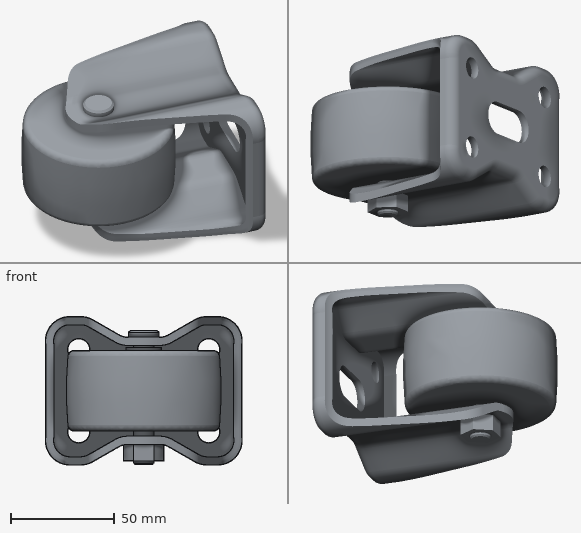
import cadquery as cq
import math


wall = 4.0
axle_to_back = 70.5
bracket_half_height = 36.0
plate_half_width = 47.5
lobe_radius = 12.0
lobe_center_x = 35.695
shoulder_x = 27.5
waist_x = 10.0
waist_half_height = 26.0
shoulder_radius = 12.0
waist_radius = 8.0
back_edge_radius = 5.0

rim_depth = 7.0
rim_corner_x = 40.9
rim_radius = 15.0
flange_corner_x = 25.3
flange_corner_below_axle = 6.3
flange_corner_radius = 12.0
tip_radius = 16.0

screw_hole_diameter = 10.6
screw_hole_x = 31.5
screw_hole_z = 19.9
slot_length = 35.0
slot_height = 16.0

wheel_radius = 37.5
wheel_edge_radius = 36.5
wheel_width = 39.0
wheel_rounding = 3.0

axle_radius = 5.0
axle_end_z = -35.7
axle_chamfer = 0.8
spacer_radius = 8.5
spacer_thickness = 1.5
head_radius = 7.5
head_height = 3.25
head_chamfer = 1.0
nut_across_flats = 17.0
nut_height = 8.0


def rounded_corner(previous, corner, following, radius):
    """Start, middle and end of the arc that rounds a corner between two straight lines."""
    to_previous = (cq.Vector(*previous) - cq.Vector(*corner)).normalized()
    to_following = (cq.Vector(*following) - cq.Vector(*corner)).normalized()
    half_angle = to_previous.getAngle(to_following) / 2
    tangent_length = radius / math.tan(half_angle)
    middle_distance = radius / math.sin(half_angle) - radius
    bisector = (to_previous + to_following).normalized()
    start = cq.Vector(*corner) + to_previous * tangent_length
    middle = cq.Vector(*corner) + bisector * middle_distance
    end = cq.Vector(*corner) + to_following * tangent_length
    return start.toTuple()[:2], middle.toTuple()[:2], end.toTuple()[:2]


def bow_tie(inset, back_y):
    """Bow-tie prism from `back_y` to the flange tips, its outline moved inward by `inset`."""
    lobe_r = lobe_radius - inset
    side_x = plate_half_width - inset
    top_z = bracket_half_height - inset
    lobe_z = bracket_half_height - lobe_radius
    side_z = lobe_z - math.sqrt(lobe_r**2 - (side_x - lobe_center_x) ** 2)
    lobe_mid = (
        lobe_center_x + lobe_r * math.sqrt(0.5),
        lobe_z + lobe_r * math.sqrt(0.5),
    )

    slope = math.atan2(bracket_half_height - waist_half_height, shoulder_x - waist_x)
    corner_shift = inset * math.tan(slope / 2)
    shoulder = (shoulder_x + corner_shift, top_z)
    waist = (waist_x + corner_shift, waist_half_height - inset)
    lobe_top = (lobe_center_x, top_z)
    waist_center = (0, waist[1])
    shoulder_start, shoulder_mid, shoulder_end = rounded_corner(
        lobe_top, shoulder, waist, shoulder_radius - inset
    )
    waist_start, waist_mid, waist_end = rounded_corner(
        shoulder, waist, waist_center, waist_radius + inset
    )

    quarter = (
        cq.Workplane("XZ", origin=(0, back_y, 0))
        .lineTo(side_x, 0)
        .lineTo(side_x, side_z)
        .threePointArc(lobe_mid, lobe_top)
        .lineTo(*shoulder_start)
        .threePointArc(shoulder_mid, shoulder_end)
        .lineTo(*waist_start)
        .threePointArc(waist_mid, waist_end)
        .lineTo(*waist_center)
        .close()
        .extrude(back_y + tip_radius)
    )
    half = quarter.union(quarter.mirror("XY"))
    return half.union(half.mirror("YZ")).clean()


def side_profile():
    """Prism along Z that trims the bracket to a full rim and two tapered flanges."""
    blank_half_width = plate_half_width + rim_radius
    rim_y = axle_to_back - rim_depth
    corner_y = -flange_corner_below_axle

    corner_distance = math.hypot(flange_corner_x, corner_y)
    corner_angle = math.atan2(corner_y, flange_corner_x)
    tangent_angle = corner_angle - math.acos(tip_radius / corner_distance)
    apex_y = tip_radius / math.sin(tangent_angle)

    half = [
        (blank_half_width, axle_to_back),
        (blank_half_width, rim_y),
        (rim_corner_x, rim_y),
        (flange_corner_x, corner_y),
    ]
    mirrored_half = [(-x, y) for x, y in reversed(half)]
    profile = (
        cq.Workplane("XY")
        .polyline(half + [(0, apex_y)] + mirrored_half)
        .close()
        .extrude(bracket_half_height, both=True)
    )
    for corner_x, y, radius in (
        (rim_corner_x, rim_y, rim_radius),
        (flange_corner_x, corner_y, flange_corner_radius),
        (0, apex_y, tip_radius),
    ):
        for x in {corner_x, -corner_x}:
            corner_edge = cq.selectors.NearestToPointSelector((x, y, 0))
            profile = profile.edges("|Z").edges(corner_edge).fillet(radius)
    return profile


def plate_openings():
    """Four screw holes and a central slot through the mounting plate."""
    plate_back = cq.Workplane("XZ", origin=(0, axle_to_back, 0))
    holes = (
        plate_back.rect(2 * screw_hole_x, 2 * screw_hole_z, forConstruction=True)
        .vertices()
        .circle(screw_hole_diameter / 2)
        .extrude(wall)
    )
    slot = plate_back.slot2D(slot_length, slot_height).extrude(wall)
    return holes.union(slot)


def make_bracket():
    body = bow_tie(0, axle_to_back).faces(">Y").edges().fillet(back_edge_radius)
    cavity = bow_tie(wall, axle_to_back - wall)
    return body.cut(cavity).intersect(side_profile()).cut(plate_openings())


def make_wheel():
    half_width = wheel_width / 2
    return (
        cq.Workplane("XZ")
        .moveTo(0, -half_width)
        .lineTo(-wheel_edge_radius, -half_width)
        .threePointArc((-wheel_radius, 0), (-wheel_edge_radius, half_width))
        .lineTo(0, half_width)
        .close()
        .revolve(360, (0, 0), (0, 1))
        .faces("<Z or >Z")
        .edges()
        .fillet(wheel_rounding)
    )


def make_axle():
    """Bolt with its head above the upper flange, plus the spacer and the nut."""
    shank = (
        cq.Workplane("XY", origin=(0, 0, axle_end_z))
        .circle(axle_radius)
        .extrude(waist_half_height - axle_end_z)
        .faces("<Z")
        .chamfer(axle_chamfer)
    )
    head = (
        cq.Workplane("XY", origin=(0, 0, waist_half_height))
        .circle(head_radius)
        .extrude(head_height)
        .faces(">Z")
        .chamfer(head_chamfer)
    )
    spacer = (
        cq.Workplane("XY", origin=(0, 0, wheel_width / 2))
        .circle(spacer_radius)
        .extrude(spacer_thickness)
    )
    nut_across_corners = nut_across_flats / math.cos(math.pi / 6)
    nut = (
        cq.Workplane("XY", origin=(0, 0, -waist_half_height))
        .polygon(6, nut_across_corners)
        .extrude(-nut_height)
    )
    return shank.union(head).union(spacer).union(nut)


result = make_bracket().union(make_wheel()).union(make_axle())